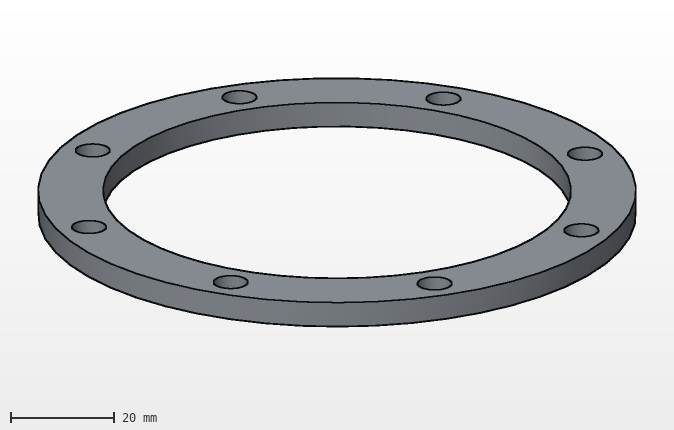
import cadquery as cq

outer_diameter = 115.0
inner_diameter = 90.0
thickness = 5.0

hole_count = 8
hole_diameter = 6.6
bolt_circle_diameter = (outer_diameter + inner_diameter) / 2


def make_ring():
    """Annular plate centred on Z, resting on the XY plane."""
    return (
        cq.Workplane("XY")
        .circle(outer_diameter / 2)
        .circle(inner_diameter / 2)
        .extrude(thickness)
    )


def drill_bolt_holes(ring):
    """Plain through holes on the bolt circle, the first one on the +X axis."""
    return (
        ring.faces(">Z")
        .workplane(origin=(0, 0, thickness))
        .polarArray(bolt_circle_diameter / 2, 0, 360, hole_count)
        .hole(hole_diameter)
    )


result = drill_bolt_holes(make_ring())